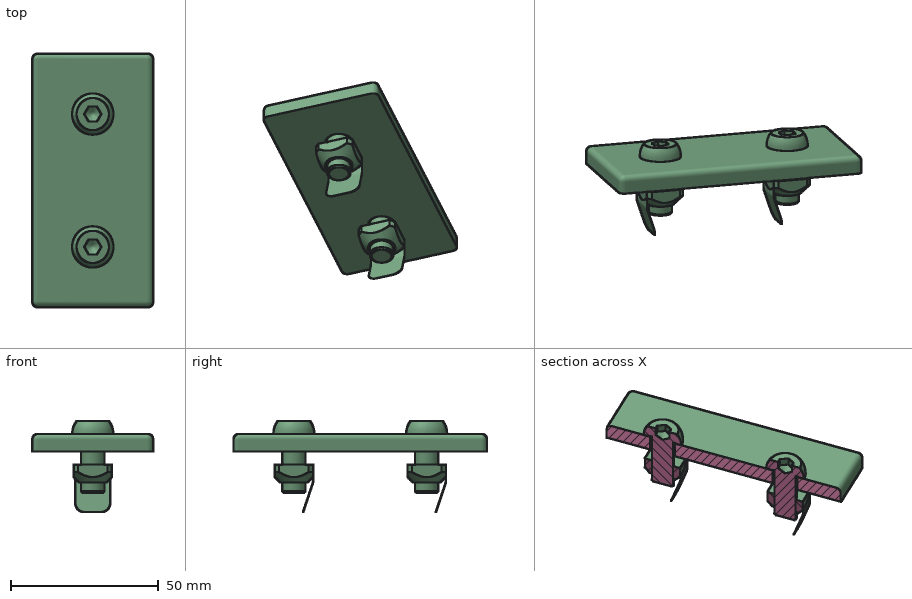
import cadquery as cq
import math


plate_width = 41.0
plate_length = 86.0
plate_thickness = 6.0
plate_round = 2.0
clearance_diameter = 9.0

screw_pitch = 45.0
screw_diameter = 8.0
screw_tip_diameter = 6.8
screw_length = 20.0
head_diameter = 14.0
head_height = 4.4
socket_across_flats = 5.0
socket_depth = 2.6
socket_floor_angle = 120.0

nut_width = 13.0
nut_corner_diameter = 16.4
nut_height = 6.0
nut_gap = 4.5
nut_end_diameter = 9.4

leaf_width = 11.95
leaf_thickness = 0.13
leaf_bend_radius = 3.0
leaf_bend_overhang = 0.3
leaf_drop = 9.8
leaf_angle = 18.5
leaf_corner_radius = 3.2

head_top = plate_thickness + head_height
screw_tip = plate_thickness - screw_length
nut_top = -nut_gap
nut_bottom = nut_top - nut_height
screw_positions = [-screw_pitch / 2, screw_pitch / 2]


def make_plate():
    """Plate with rounded upright corners and top edges, and a clearance hole for each screw."""
    plate = (
        cq.Workplane("XY")
        .box(plate_width, plate_length, plate_thickness, centered=(True, True, False))
        .edges("|Z")
        .fillet(plate_round)
        .faces(">Z")
        .edges()
        .fillet(plate_round)
    )
    holes = (
        cq.Workplane("XY")
        .pushPoints([(0, y) for y in screw_positions])
        .circle(clearance_diameter / 2)
        .extrude(plate_thickness)
    )
    return plate.cut(holes)


def make_socket():
    """Hexagon socket with two flats square to Y and a conical floor."""
    circle_radius = socket_across_flats / math.sqrt(3)
    cone_depth = circle_radius / math.tan(math.radians(socket_floor_angle / 2))
    hexagon = (
        cq.Workplane("XY", origin=(0, 0, head_top))
        .polygon(6, 2 * circle_radius)
        .extrude(-socket_depth - cone_depth)
    )
    drill = (
        cq.Workplane("XZ")
        .moveTo(0, head_top)
        .lineTo(circle_radius, head_top)
        .lineTo(circle_radius, head_top - socket_depth)
        .lineTo(0, head_top - socket_depth - cone_depth)
        .close()
        .revolve(360, (0, 0, 0), (0, 1, 0))
    )
    return hexagon.intersect(drill)


def make_screw():
    """Screw on the Z axis; its head is a slice of a ball centred at the top of the plate."""
    ball_radius = head_diameter / 2
    head_top_radius = math.sqrt(ball_radius**2 - head_height**2)
    arc_middle = math.asin(head_height / ball_radius) / 2
    arc_point = (
        ball_radius * math.cos(arc_middle),
        plate_thickness + ball_radius * math.sin(arc_middle),
    )
    tip_chamfer = (screw_diameter - screw_tip_diameter) / 2
    body = (
        cq.Workplane("XZ")
        .moveTo(0, screw_tip)
        .lineTo(screw_tip_diameter / 2, screw_tip)
        .lineTo(screw_diameter / 2, screw_tip + tip_chamfer)
        .lineTo(screw_diameter / 2, plate_thickness)
        .lineTo(ball_radius, plate_thickness)
        .threePointArc(arc_point, (head_top_radius, head_top))
        .lineTo(0, head_top)
        .close()
        .revolve(360, (0, 0, 0), (0, 1, 0))
    )
    return body.cut(make_socket())


def make_nut():
    """Square nut on the Z axis, trimmed by a turned outline with a 45 degree lower cone."""
    corner_radius = nut_corner_diameter / 2
    end_radius = nut_end_diameter / 2
    block = (
        cq.Workplane("XY", origin=(0, 0, nut_bottom))
        .rect(nut_width, nut_width)
        .extrude(nut_height)
    )
    turned_outline = (
        cq.Workplane("XZ")
        .moveTo(0, nut_bottom)
        .lineTo(end_radius, nut_bottom)
        .lineTo(corner_radius, nut_bottom + corner_radius - end_radius)
        .lineTo(corner_radius, nut_top)
        .lineTo(0, nut_top)
        .close()
        .revolve(360, (0, 0, 0), (0, 1, 0))
    )
    bore = (
        cq.Workplane("XY", origin=(0, 0, nut_bottom))
        .circle(screw_diameter / 2)
        .extrude(nut_height)
    )
    return block.intersect(turned_outline).cut(bore)


def make_leaf():
    """Thin leaf flat on the +Y side of the nut, bent inwards near its lower end, with rounded corners."""
    angle = math.radians(leaf_angle)
    bend_end = nut_bottom - leaf_bend_overhang
    bend_start = bend_end + leaf_bend_radius * math.sin(angle)
    leaf_bottom = bend_end - leaf_drop
    bend_centre_y = nut_width / 2 - leaf_bend_radius

    def bend_point(radius, turn):
        return (bend_centre_y + radius * math.cos(turn), bend_start - radius * math.sin(turn))

    def foot_point(radius):
        bend_y, bend_z = bend_point(radius, angle)
        return (bend_y - (bend_z - leaf_bottom) * math.tan(angle), leaf_bottom)

    inner_radius = leaf_bend_radius
    outer_radius = leaf_bend_radius + leaf_thickness
    strip = (
        cq.Workplane("YZ")
        .moveTo(bend_centre_y + inner_radius, nut_top)
        .lineTo(bend_centre_y + outer_radius, nut_top)
        .lineTo(*bend_point(outer_radius, 0))
        .threePointArc(bend_point(outer_radius, angle / 2), bend_point(outer_radius, angle))
        .lineTo(*foot_point(outer_radius))
        .lineTo(*foot_point(inner_radius))
        .lineTo(*bend_point(inner_radius, angle))
        .threePointArc(bend_point(inner_radius, angle / 2), bend_point(inner_radius, 0))
        .close()
        .extrude(leaf_width / 2, both=True)
    )
    outline = (
        cq.Workplane("XZ")
        .moveTo(0, (nut_top + leaf_bottom) / 2)
        .rect(leaf_width, nut_top - leaf_bottom)
        .extrude(nut_width, both=True)
        .edges("|Y and <Z")
        .fillet(leaf_corner_radius)
    )
    return strip.intersect(outline)


plate = make_plate()
fasteners = []
for y in screw_positions:
    for make_body in (make_screw, make_nut, make_leaf):
        fasteners.append(make_body().translate((0, y, 0)).val())

result = cq.Compound.makeCompound([plate.val(), *fasteners])